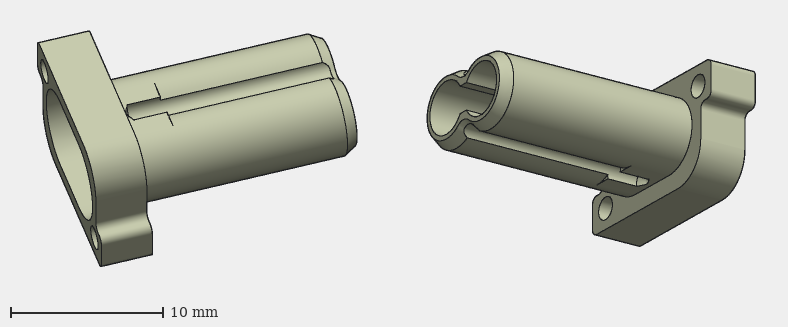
import cadquery as cq
import math

flange_width = 13.9
flange_height = 8.0
flange_thickness = 3.52
flange_body_width = 11.45
ear_height = 2.75
ear_radius = 0.5
flange_corner_radius = 2.66
ear_hole_diameter = 1.61
ear_hole_x = 5.4
ear_hole_z = 2.5

pocket_length = 10.0
pocket_height = 6.0
pocket_depth = 2.0

total_length = 18.5
bore_spacing = 4.0
barrel_diameter = 5.4
waist_radius = 0.5
bore_diameter = 3.8
neck_height = 1.96
lead_in_length = 0.81
lead_in_angle = 30.0

pad_length = 3.0
groove_radius = 0.74
groove_tip_angle = 120.0
groove_full_length = 14.28

barrel_radius = barrel_diameter / 2
barrel_x = bore_spacing / 2
waist_z = math.sqrt((barrel_radius + waist_radius) ** 2 - barrel_x**2)


def section(y):
    """Workplane at depth y with local x along X and local y along Z; negative extrusions run toward +Y."""
    return cq.Workplane(cq.Plane(origin=(0, y, 0), xDir=(1, 0, 0), normal=(0, -1, 0)))


def build_flange():
    """Rounded plate with one ear at the upper left and one at the lower right."""
    right = flange_width / 2
    top = flange_height / 2
    side = flange_body_width / 2
    ear_edge = top - ear_height

    corners = [
        (-right, top),
        (side, top),
        (side, -ear_edge),
        (right, -ear_edge),
        (right, -top),
        (-side, -top),
        (-side, ear_edge),
        (-right, ear_edge),
    ]
    plate = section(0).polyline(corners).close().extrude(-flange_thickness)

    def round_corners(body, points, radius):
        for x, z in points:
            near_edge = cq.selectors.NearestToPointSelector((x, flange_thickness / 2, z))
            body = body.edges("|Y").edges(near_edge).fillet(radius)
        return body

    large_corners = [(side, top), (-side, -top)]
    small_corners = [point for point in corners if point not in large_corners]
    plate = round_corners(plate, large_corners, flange_corner_radius)
    return round_corners(plate, small_corners, ear_radius)


def barrel_outline(y, inset):
    """Two circles joined by concave waist arcs, with the whole outline moved inward by inset."""
    outer_radius = barrel_radius - inset
    arc_radius = waist_radius + inset
    touch_ratio = arc_radius / (barrel_radius + waist_radius)
    touch_x = barrel_x * touch_ratio
    touch_z = waist_z * (1 - touch_ratio)
    waist_bottom = waist_z - arc_radius
    end_x = barrel_x + outer_radius
    return (
        section(y)
        .moveTo(-touch_x, touch_z)
        .threePointArc((0, waist_bottom), (touch_x, touch_z))
        .threePointArc((end_x, 0), (touch_x, -touch_z))
        .threePointArc((0, -waist_bottom), (-touch_x, -touch_z))
        .threePointArc((-end_x, 0), (-touch_x, touch_z))
        .close()
    )


def build_barrel():
    """Twin barrel with a tapered lead-in at its free end."""
    taper_start = total_length - lead_in_length
    end_inset = lead_in_length * math.tan(math.radians(lead_in_angle))
    straight = barrel_outline(flange_thickness, 0).extrude(flange_thickness - taper_start)
    start_wire = barrel_outline(taper_start, 0).wire().val()
    end_wire = barrel_outline(total_length, end_inset).wire().val()
    lead_in = cq.Solid.makeLoft([start_wire, end_wire], True)
    return straight.union(cq.Workplane(lead_in))


def build_pads():
    """Block that fills both waists flush with the barrel tangents, next to the flange."""
    return section(flange_thickness).rect(bore_spacing, barrel_diameter).extrude(-pad_length)


def build_groove(side):
    """Drill shape entering from the free end, centred on the waist arc (side is +1 or -1)."""
    tip_length = groove_radius / math.tan(math.radians(groove_tip_angle / 2))
    shoulder_y = total_length - groove_full_length
    return (
        cq.Workplane("XY")
        .moveTo(0, shoulder_y - tip_length)
        .lineTo(groove_radius, shoulder_y)
        .lineTo(groove_radius, total_length)
        .lineTo(0, total_length)
        .close()
        .revolve(360, (0, 0, 0), (0, 1, 0))
        .translate((0, 0, side * waist_z))
    )


def build_bores():
    """Two through bores joined by a flat-sided neck."""
    bores = section(0).pushPoints([(-barrel_x, 0), (barrel_x, 0)]).circle(bore_diameter / 2)
    bores = bores.extrude(-total_length)
    neck = section(0).rect(bore_spacing, neck_height).extrude(-total_length)
    return bores.union(neck)


def build_pocket():
    """Obround recess in the front face of the flange."""
    return section(0).slot2D(pocket_length, pocket_height).extrude(-pocket_depth)


def build_ear_holes():
    """One through hole in each ear."""
    centres = [(-ear_hole_x, ear_hole_z), (ear_hole_x, -ear_hole_z)]
    return section(0).pushPoints(centres).circle(ear_hole_diameter / 2).extrude(-flange_thickness)


result = build_flange().union(build_barrel()).union(build_pads())
for groove_side in (1, -1):
    result = result.cut(build_groove(groove_side))
result = result.cut(build_bores()).cut(build_pocket()).cut(build_ear_holes())